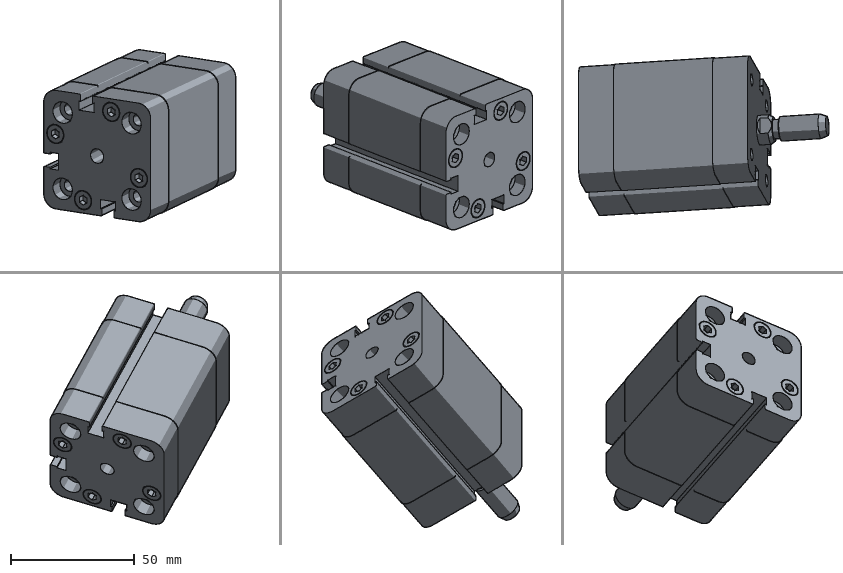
import cadquery as cq
import math


barrel_width = 50.1
barrel_radius = 6.0
cap_inset = 0.2
cap_width = barrel_width - 2 * cap_inset
cap_radius = barrel_radius - cap_inset
cap_length = 14.4
overall_length = 97.5
rod_length = 28.0
body_length = overall_length - rod_length
barrel_length = body_length - 2 * cap_length

slot_offset = 5.0
slot_mouth_width = 5.6
slot_width = 6.9
slot_floor = 18.0
slot_lip = 21.8
slot_edge_radius = 0.6
slot_angles = (0, 90, 180)

mount_offset = 16.0
mount_diameter = 4.9
counterbore_diameter = 9.0
counterbore_depth = 5.7

screw_across = 6.5
screw_out = 19.4
screw_bore_diameter = 8.0
screw_head_diameter = 7.5
screw_head_height = 5.0
socket_flats = 3.5
socket_depth = 3.0

centre_hole_diameter = 6.0
centre_hole_depth = 9.75

collar_diameter = 12.0
collar_length = 6.1
collar_flats = 10.0
collar_chamfer_length = 1.6
collar_end_diameter = 9.9
flat_start = 1.4
neck_diameter = 7.9
neck_length = 2.4
thread_diameter = 10.0
thread_root_diameter = 8.6
thread_root_length = 0.4
tip_diameter = 7.9
tip_length = 2.8


def along_y(start):
    """Sketch plane at y = start with axes X and Z; a negative extrusion runs toward +Y."""
    return cq.Workplane("XZ", origin=(0, start, 0))


def rounded_block(width, radius, start, length):
    return along_y(start).rect(width, width).extrude(-length).edges("|Y").fillet(radius)


def slot(angle, side_face, start, length):
    """T-slot with rounded mouth edges, opening through a side at the given distance from the axis."""
    undercut = (
        along_y(start)
        .center(-slot_offset, (slot_floor + slot_lip) / 2)
        .rect(slot_width, slot_lip - slot_floor)
        .extrude(-length)
    )
    half_mouth = slot_mouth_width / 2
    round_start = side_face - slot_edge_radius
    round_half_width = half_mouth + slot_edge_radius
    mouth = (
        along_y(start)
        .center(-slot_offset, 0)
        .moveTo(-half_mouth, slot_floor)
        .lineTo(half_mouth, slot_floor)
        .lineTo(half_mouth, round_start)
        .radiusArc((round_half_width, side_face), slot_edge_radius)
        .lineTo(-round_half_width, side_face)
        .radiusArc((-half_mouth, round_start), slot_edge_radius)
        .close()
        .extrude(-length)
    )
    return undercut.union(mouth).rotate((0, 0, 0), (0, 1, 0), -angle)


def slotted_block(width, radius, start, length):
    block = rounded_block(width, radius, start, length)
    for angle in slot_angles:
        block = block.cut(slot(angle, width / 2, start, length))
    return block


def mounting_holes():
    spacing = 2 * mount_offset
    through = along_y(0).rarray(spacing, spacing, 2, 2).circle(mount_diameter / 2).extrude(-body_length)
    counterbores = (
        along_y(0).rarray(spacing, spacing, 2, 2).circle(counterbore_diameter / 2).extrude(-counterbore_depth)
    )
    return through.union(counterbores)


def screw_recesses():
    """Narrow gap around each screw head, and the hexagon socket in it."""
    radius = math.hypot(screw_across, screw_out)
    first_angle = math.degrees(math.atan2(screw_out, screw_across))
    points = []
    for index in range(4):
        angle = math.radians(first_angle + 90 * index)
        points.append((radius * math.cos(angle), radius * math.sin(angle)))
    recesses = (
        along_y(0)
        .pushPoints(points)
        .circle(screw_bore_diameter / 2)
        .circle(screw_head_diameter / 2)
        .extrude(-screw_head_height)
    )
    socket_corners = socket_flats / math.cos(math.radians(30))
    for x, z in points:
        socket = along_y(0).polygon(6, socket_corners).extrude(-socket_depth)
        recesses = recesses.union(socket.rotate((0, 0, 0), (0, 1, 0), 90).translate((x, 0, z)))
    return recesses


def collar():
    """Rod collar with two spanner flats facing -X and +X, each ending in a 45 degree slope."""
    chamfer_start = collar_length - collar_chamfer_length
    turned = (
        cq.Workplane("XY")
        .lineTo(collar_diameter / 2, 0)
        .lineTo(collar_diameter / 2, chamfer_start)
        .lineTo(collar_end_diameter / 2, collar_length)
        .lineTo(0, collar_length)
        .close()
        .revolve(360, (0, 0), (0, 1))
    )
    slope = (collar_diameter - collar_flats) / 2
    between_flats = (
        cq.Workplane("XY")
        .moveTo(-collar_diameter / 2, 0)
        .lineTo(collar_diameter / 2, 0)
        .lineTo(collar_diameter / 2, flat_start - slope)
        .lineTo(collar_flats / 2, flat_start)
        .lineTo(collar_flats / 2, collar_length)
        .lineTo(-collar_flats / 2, collar_length)
        .lineTo(-collar_flats / 2, flat_start)
        .lineTo(-collar_diameter / 2, flat_start - slope)
        .close()
        .extrude(collar_diameter, both=True)
    )
    return turned.intersect(between_flats)


def threaded_end():
    """Neck and threaded end of the rod, starting on the collar."""
    neck_end = collar_length + neck_length
    thread_radius = thread_diameter / 2
    return (
        cq.Workplane("XY")
        .moveTo(0, collar_length)
        .lineTo(neck_diameter / 2, collar_length)
        .lineTo(neck_diameter / 2, neck_end)
        .lineTo(thread_root_diameter / 2, neck_end)
        .lineTo(thread_radius, neck_end + thread_root_length)
        .lineTo(thread_radius, rod_length - tip_length)
        .lineTo(tip_diameter / 2, rod_length)
        .lineTo(0, rod_length)
        .close()
        .revolve(360, (0, collar_length), (0, neck_end))
    )


front_cap = slotted_block(cap_width, cap_radius, 0, cap_length)
barrel = slotted_block(barrel_width, barrel_radius, cap_length, barrel_length)
rod_cap = slotted_block(cap_width, cap_radius, cap_length + barrel_length, cap_length)
centre_hole = along_y(0).circle(centre_hole_diameter / 2).extrude(-centre_hole_depth)
rod = collar().union(threaded_end()).translate((0, body_length, 0))

body = front_cap.union(barrel).union(rod_cap)
body = body.cut(mounting_holes()).cut(screw_recesses()).cut(centre_hole)
result = body.union(rod)